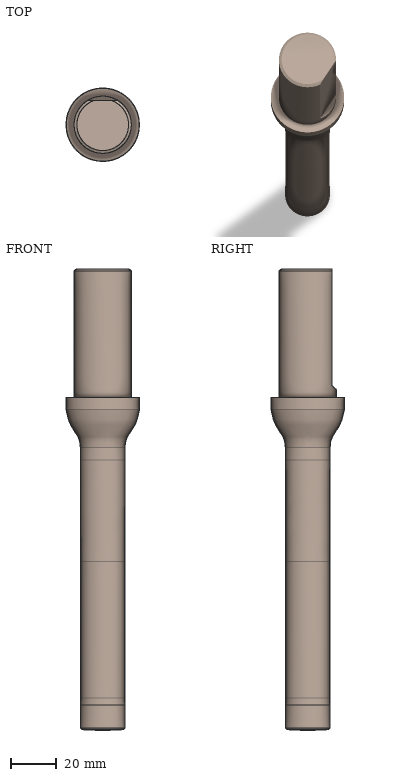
import cadquery as cq

TOTAL_HEIGHT = 201.0
HEAD_HEIGHT = 11.0
HEAD_TAPER_TOP = 14.3
NECK_TAPER_BOTTOM = 73.5
NECK_TAPER_TOP = 117.8
FLARE_BOTTOM = 123.2
COLLAR_BOTTOM = 139.7
COLLAR_TOP = 145.1

HEAD_RADIUS = 19.5 / 2
NECK_RADIUS = 19.3 / 2
COLLAR_RADIUS = 32.0 / 2
SHANK_RADIUS = 25.0 / 2

SHANK_CHAMFER_WIDTH = 1.2
SHANK_CHAMFER_HEIGHT = 0.8
HEAD_CHAMFER_WIDTH = 0.8
HEAD_CHAMFER_HEIGHT = 0.8

TIP_CONE_HEIGHT = 0.5

FLAT_OFFSET = 10.7
FLAT_BOTTOM = 150.1

FLARE_LOWER_POINT = (10.5, 127.2)
FLARE_UPPER_POINT = (13.3, 131.9)
FLARE_BOTTOM_DIRECTION = (0, 1)
FLARE_TOP_DIRECTION = (0.2, 1)


def make_flat_cutter():
    """Block that removes the clamping flat, with a ramped lower end."""
    depth = SHANK_RADIUS - FLAT_OFFSET
    return (
        cq.Workplane("YZ")
        .moveTo(FLAT_OFFSET, FLAT_BOTTOM)
        .lineTo(SHANK_RADIUS, FLAT_BOTTOM - depth)
        .lineTo(SHANK_RADIUS, TOTAL_HEIGHT)
        .lineTo(FLAT_OFFSET, TOTAL_HEIGHT)
        .close()
        .extrude(SHANK_RADIUS, both=True)
    )


def make_holder():
    """Shank, collar, flare and neck turned as one body, then flattened on the shank."""
    turned = (
        cq.Workplane("XZ")
        .moveTo(0, HEAD_HEIGHT)
        .lineTo(HEAD_RADIUS, HEAD_HEIGHT)
        .lineTo(NECK_RADIUS, HEAD_TAPER_TOP)
        .lineTo(NECK_RADIUS, NECK_TAPER_BOTTOM)
        .lineTo(HEAD_RADIUS, NECK_TAPER_TOP)
        .lineTo(HEAD_RADIUS, FLARE_BOTTOM)
        .spline(
            [FLARE_LOWER_POINT, FLARE_UPPER_POINT, (COLLAR_RADIUS, COLLAR_BOTTOM)],
            tangents=[FLARE_BOTTOM_DIRECTION, FLARE_TOP_DIRECTION],
            includeCurrent=True,
        )
        .lineTo(COLLAR_RADIUS, COLLAR_TOP)
        .lineTo(SHANK_RADIUS, COLLAR_TOP)
        .lineTo(SHANK_RADIUS, TOTAL_HEIGHT - SHANK_CHAMFER_HEIGHT)
        .lineTo(SHANK_RADIUS - SHANK_CHAMFER_WIDTH, TOTAL_HEIGHT)
        .lineTo(0, TOTAL_HEIGHT)
        .close()
        .revolve(360, (0, 0), (0, 1))
    )
    return turned.cut(make_flat_cutter())


def make_head():
    """Short cylindrical head below the neck, chamfered around a shallow conical tip."""
    return (
        cq.Workplane("XZ")
        .lineTo(HEAD_RADIUS - HEAD_CHAMFER_WIDTH, TIP_CONE_HEIGHT)
        .lineTo(HEAD_RADIUS, TIP_CONE_HEIGHT + HEAD_CHAMFER_HEIGHT)
        .lineTo(HEAD_RADIUS, HEAD_HEIGHT)
        .lineTo(0, HEAD_HEIGHT)
        .close()
        .revolve(360, (0, 0), (0, 1))
    )


holder = make_holder()
head = make_head()

result = cq.Compound.makeCompound([holder.val(), head.val()])